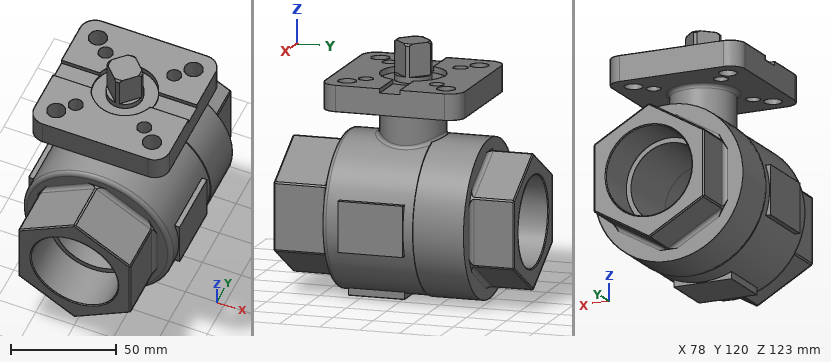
import cadquery as cq
import math


body_dia = 77.0
body_front_y = -32.8
body_edge_fillet = 2.1
collar_dia = 78.0
collar_front_y = 12.7
collar_back_y = 38.1
root_fillet = 2.0

overall_length = 120.0
end_y = overall_length / 2
hex_flats = 57.8
hex_corner_width = 66.2
hex_chamfer = 0.6

bore_dia = 40.0
socket_dia = 44.9
socket_depth = 22.4
socket_chamfer = 0.5

pad_reach = collar_dia / 2
side_pad_y = (-24.6, 7.7)
side_pad_height = 25.0
bottom_pad_y = (-27.3, 0.6)
bottom_pad_width = 30.3

overall_height = 123.0
stem_top_z = overall_height - collar_dia / 2
neck_dia = 32.0
plate_size = 70.0
plate_corner_radius = 7.7
plate_thickness = 12.9
plate_top_z = 67.9
plate_bottom_z = plate_top_z - plate_thickness
recess_depth = 3.0
groove_width = 10.1
groove_depth = 2.1

hole_patterns = ((9.0, 49.5), (7.0, 35.4))

stem_dia = 18.0
stem_flats = 14.0
stem_chamfer = 1.0


def y_cylinder(diameter, y_start, y_end):
    """Cylinder on the bore axis between two Y positions."""
    plane = cq.Plane(origin=(0, y_start, 0), xDir=(1, 0, 0), normal=(0, 1, 0))
    return cq.Workplane(plane).circle(diameter / 2).extrude(y_end - y_start)


def z_cylinder(diameter, z_start, z_end):
    """Cylinder on the stem axis between two Z positions."""
    return cq.Workplane("XY").workplane(offset=z_start).circle(diameter / 2).extrude(z_end - z_start)


def box_between(x_range, y_range, z_range):
    """Box given by its limits along each axis."""
    size = [high - low for low, high in (x_range, y_range, z_range)]
    corner = (x_range[0], y_range[0], z_range[0])
    return cq.Workplane("XY").box(*size, centered=False).translate(corner)


def hex_end(root_y):
    """Hexagonal end on +Y: three crossed slabs, flared at the root and chamfered at the mouth."""
    half = hex_flats / 2
    flare = half + root_fillet
    fillet_end_y = root_y + root_fillet
    arc_offset = root_fillet * (1 - math.sqrt(0.5))
    slab = (
        cq.Workplane("XY")
        .moveTo(-flare, 0)
        .lineTo(flare, 0)
        .lineTo(flare, root_y)
        .threePointArc((half + arc_offset, root_y + arc_offset), (half, fillet_end_y))
        .lineTo(half, end_y - hex_chamfer)
        .lineTo(half - hex_chamfer, end_y)
        .lineTo(-half + hex_chamfer, end_y)
        .lineTo(-half, end_y - hex_chamfer)
        .lineTo(-half, fillet_end_y)
        .threePointArc((-half - arc_offset, root_y + arc_offset), (-flare, root_y))
        .close()
        .extrude(hex_flats, both=True)
    )
    trim_corner_dia = hex_corner_width / math.cos(math.pi / 6)
    end = cq.Workplane("XZ").polygon(6, trim_corner_dia).extrude(-end_y)
    for angle in (0, 60, 120):
        end = end.intersect(slab.rotate((0, 0, 0), (0, 1, 0), angle))
    return end


def barrel_and_neck():
    """Barrel with rounded front edge, blended into the neck; the collar covers the rear of the blend."""
    barrel = y_cylinder(body_dia, body_front_y, collar_back_y)
    barrel = barrel.faces("<Y").edges().fillet(body_edge_fillet)
    barrel = barrel.union(z_cylinder(neck_dia, 0, plate_bottom_z))
    junction = cq.selectors.BoxSelector(
        (-neck_dia, -neck_dia, 0), (neck_dia, neck_dia, plate_bottom_z - root_fillet)
    )
    barrel = barrel.edges(junction).edges("(not #Z) and (not |Z)").fillet(root_fillet)
    return barrel.union(y_cylinder(collar_dia, collar_front_y, collar_back_y))


def pads():
    """Flat rectangular pads on both sides and underneath."""
    half_height = side_pad_height / 2
    half_width = bottom_pad_width / 2
    sides = box_between((-pad_reach, pad_reach), side_pad_y, (-half_height, half_height))
    bottom = box_between((-half_width, half_width), bottom_pad_y, (-pad_reach, 0))
    return sides.union(bottom)


def mounting_plate():
    """Square plate with a filleted neck stub, stem recess, cross groove and bolt holes."""
    plate = (
        cq.Workplane("XY")
        .workplane(offset=plate_bottom_z)
        .rect(plate_size, plate_size)
        .extrude(plate_thickness)
        .edges("|Z")
        .fillet(plate_corner_radius)
    )
    stub_z = plate_bottom_z - 2 * root_fillet
    plate = plate.union(z_cylinder(neck_dia, stub_z, plate_bottom_z))
    plate = plate.edges(cq.selectors.NearestToPointSelector((0, neck_dia / 2, plate_bottom_z)))
    plate = plate.fillet(root_fillet)
    for diameter, spacing in hole_patterns:
        holes = (
            cq.Workplane("XY")
            .workplane(offset=plate_bottom_z)
            .rect(spacing, spacing, forConstruction=True)
            .vertices()
            .circle(diameter / 2)
            .extrude(plate_thickness)
        )
        plate = plate.cut(holes)
    groove = box_between(
        (-plate_size / 2, plate_size / 2),
        (-groove_width / 2, groove_width / 2),
        (plate_top_z - groove_depth, plate_top_z),
    )
    plate = plate.cut(groove)
    return plate.cut(z_cylinder(neck_dia, plate_top_z - recess_depth, plate_top_z))


def stem():
    """Round boss level with the plate top, carrying a square drive turned 45 degrees."""
    boss = z_cylinder(stem_dia, plate_top_z - recess_depth, plate_top_z)
    envelope = z_cylinder(stem_dia, plate_top_z, stem_top_z)
    envelope = envelope.faces(">Z").edges().chamfer(stem_chamfer)
    square = (
        cq.Workplane("XY")
        .workplane(offset=plate_top_z)
        .rect(stem_flats, stem_flats)
        .extrude(stem_top_z - plate_top_z)
        .rotate((0, 0, 0), (0, 0, 1), 45)
    )
    return boss.union(square.intersect(envelope))


def bore():
    """Through bore with a wider chamfered socket at each end."""
    socket_radius = socket_dia / 2
    mouth_radius = socket_radius + socket_chamfer
    floor_y = end_y - socket_depth
    chamfer_y = end_y - socket_chamfer
    half = (
        cq.Workplane("XY")
        .polyline([
            (0, 0),
            (bore_dia / 2, 0),
            (bore_dia / 2, floor_y),
            (socket_radius, floor_y),
            (socket_radius, chamfer_y),
            (mouth_radius, end_y),
            (0, end_y),
        ])
        .close()
        .revolve(360, (0, 0, 0), (0, 1, 0))
    )
    return half.union(half.mirror("XZ"))


result = (
    barrel_and_neck()
    .union(pads())
    .union(hex_end(collar_back_y))
    .union(hex_end(-body_front_y).mirror("XZ"))
    .union(mounting_plate())
    .union(stem())
    .cut(bore())
)